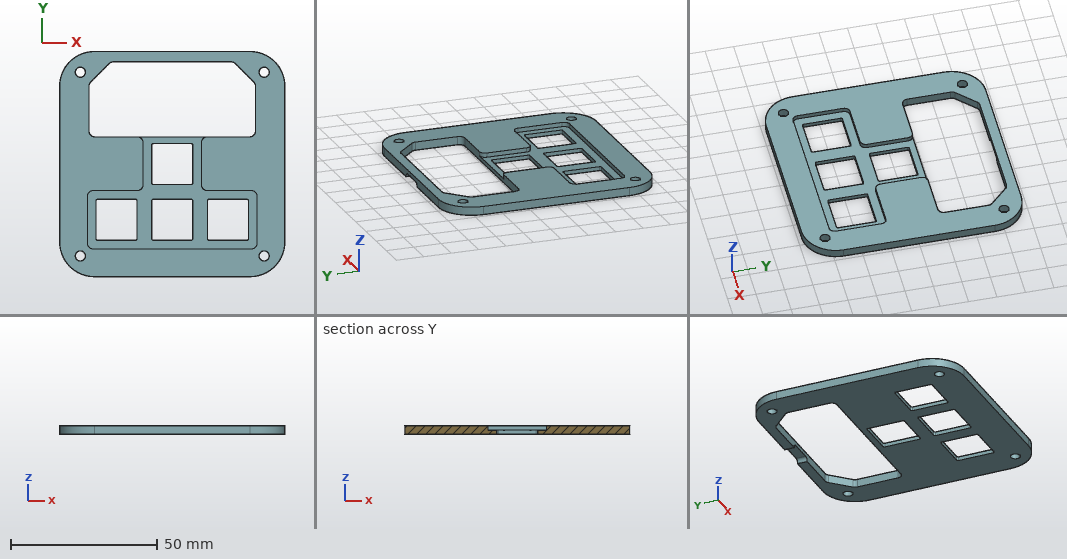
import cadquery as cq

side = 77.15
thickness = 3.0
corner_radius = 11.95
inner_radius = 2.0

hole_diameter = 3.4
hole_spacing = 62.9

window_width = 56.9
window_top = 34.95
window_bottom = 9.3
window_chamfer = 7.5

key_size = 14.0
key_pitch = 19.05
key_corner_radius = 0.5
recess_cell = 20.0
recess_floor = 1.5

channel_width = 10.65
channel_height = 1.5
channel_radius = 1.2


def make_plate():
    blank = cq.Workplane("XY").box(side, side, thickness, centered=(True, True, False))
    return blank.edges("|Z").fillet(corner_radius)


def make_screw_holes():
    return (
        cq.Workplane("XY")
        .rect(hole_spacing, hole_spacing, forConstruction=True)
        .vertices()
        .circle(hole_diameter / 2)
        .extrude(thickness)
    )


def make_window():
    half_width = window_width / 2
    shoulder_x = half_width - window_chamfer
    shoulder_y = window_top - window_chamfer
    outline = [
        (-half_width, window_bottom),
        (half_width, window_bottom),
        (half_width, shoulder_y),
        (shoulder_x, window_top),
        (-shoulder_x, window_top),
        (-half_width, shoulder_y),
    ]
    window = cq.Workplane("XY").polyline(outline).close().extrude(thickness)
    return window.edges("|Z").fillet(inner_radius)


def cut_recess(plate):
    """Lower the inverted-T area around the keys; its stem opens into the window."""
    stem_half = recess_cell / 2
    row_half = key_pitch + stem_half
    row_top = -key_pitch + stem_half
    row_bottom = -key_pitch - stem_half
    outline = [
        (-row_half, row_bottom),
        (row_half, row_bottom),
        (row_half, row_top),
        (stem_half, row_top),
        (stem_half, window_bottom),
        (-stem_half, window_bottom),
        (-stem_half, row_top),
        (-row_half, row_top),
    ]
    recess = (
        cq.Workplane("XY", origin=(0, 0, recess_floor))
        .polyline(outline)
        .close()
        .extrude(thickness - recess_floor)
    )
    window_end = cq.selectors.BoxSelector(
        (-side, window_bottom - inner_radius, 0), (side, side, thickness)
    )
    rounded_edges = cq.selectors.SubtractSelector(
        cq.selectors.ParallelDirSelector(cq.Vector(0, 0, 1)), window_end
    )
    recessed = plate.cut(recess.edges(rounded_edges).fillet(inner_radius))
    mouth = cq.selectors.BoxSelector(
        (-stem_half - inner_radius, window_bottom - inner_radius, recess_floor),
        (stem_half + inner_radius, window_bottom + inner_radius, thickness),
    )
    upright = cq.selectors.ParallelDirSelector(cq.Vector(0, 0, 1))
    return recessed.edges(cq.selectors.AndSelector(upright, mouth)).fillet(inner_radius)


def make_key_openings():
    """One key at the centre and a row of three one pitch below it."""
    centres = [(0, 0)] + [(column * key_pitch, -key_pitch) for column in (-1, 0, 1)]
    openings = cq.Workplane("XY").pushPoints(centres).rect(key_size, key_size).extrude(thickness)
    return openings.edges("|Z").fillet(key_corner_radius)


def make_cable_channel():
    """Channel in the underside, from the window out through the upper rail."""
    rail_width = side / 2 - window_top
    channel = cq.Workplane("XY", origin=(0, window_top + rail_width / 2, 0)).box(
        channel_width, rail_width, channel_height, centered=(True, True, False)
    )
    return channel.edges("|Y and >Z").fillet(channel_radius)


plate = make_plate().cut(make_screw_holes()).cut(make_window())
plate = cut_recess(plate)
result = plate.cut(make_key_openings()).cut(make_cable_channel())